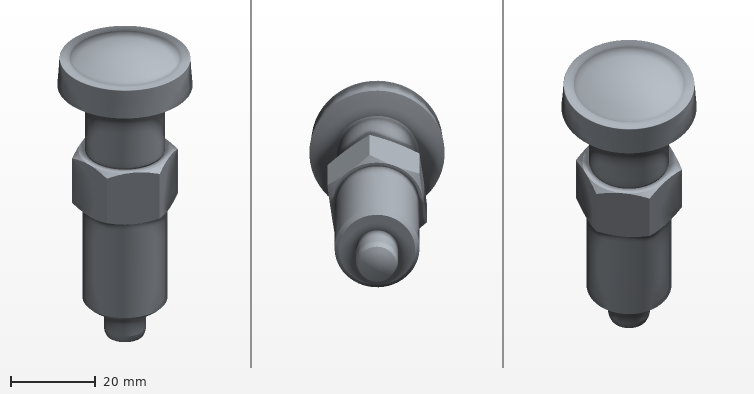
import cadquery as cq
import math

total_height = 79.0
pin_nose_z = 1.35
pin_shoulder_z = 3.15
body_bottom_z = 10.0
hex_bottom_z = 37.0
hex_top_z = 51.0
neck_bottom_z = 51.5
neck_top_z = 67.1
flare_z = 67.55
rim_bottom_z = 68.7
rim_top_z = 76.1

pin_radius = 10.0 / 2
pin_nose_radius = 4.5
body_radius = 20.1 / 2
neck_radius = 18.95 / 2
neck_flare_radius = 10.0
rim_bottom_radius = 32.0 / 2
rim_top_radius = 15.5
dome_radius = 13.0

body_chamfer = 1.0
neck_chamfer = 0.15
rim_edge_fillet = 0.15
pin_shoulder_bulge = 0.12
underside_sag = 0.1

hex_across_flats = 22.0
hex_across_corners = hex_across_flats / math.cos(math.radians(30))
hex_chamfer_angle = 30


def make_pin():
    """Round plunger pin with a tapered, domed nose."""
    nose_mid_radius = pin_nose_radius / 2
    sphere_radius = (pin_nose_radius**2 + pin_nose_z**2) / (2 * pin_nose_z)
    nose_mid_z = sphere_radius - math.sqrt(sphere_radius**2 - nose_mid_radius**2)
    shoulder_mid = (
        (pin_nose_radius + pin_radius) / 2 + pin_shoulder_bulge,
        (pin_nose_z + pin_shoulder_z) / 2,
    )
    profile = (
        cq.Workplane("XZ")
        .threePointArc((nose_mid_radius, nose_mid_z), (pin_nose_radius, pin_nose_z))
        .threePointArc(shoulder_mid, (pin_radius, pin_shoulder_z))
        .lineTo(pin_radius, hex_bottom_z)
        .lineTo(0, hex_bottom_z)
        .close()
    )
    return profile.revolve(360, (0, 0), (0, 1))


def make_body():
    """Cylindrical body with a chamfered lower end."""
    return (
        cq.Workplane("XY", origin=(0, 0, body_bottom_z))
        .circle(body_radius)
        .extrude(hex_bottom_z - body_bottom_z)
        .faces("<Z")
        .chamfer(body_chamfer)
    )


def make_hex():
    """Hexagon whose corners are turned down conically at both ends."""
    height = hex_top_z - hex_bottom_z
    corner_radius = hex_across_corners / 2
    end_radius = hex_across_flats / 2
    chamfer_height = (corner_radius - end_radius) * math.tan(math.radians(hex_chamfer_angle))
    prism = (
        cq.Workplane("XY", origin=(0, 0, hex_bottom_z))
        .transformed(rotate=(0, 0, 90))
        .polygon(6, hex_across_corners)
        .extrude(height)
    )
    turned_envelope = (
        cq.Workplane("XY", origin=(0, 0, hex_bottom_z))
        .circle(corner_radius)
        .extrude(height)
        .faces("<Z or >Z")
        .chamfer(chamfer_height, corner_radius - end_radius)
    )
    return prism.intersect(turned_envelope)


def make_knob():
    """Neck flaring into a tapered grip rim with a shallow dome on top."""
    dome_height = total_height - rim_top_z
    sphere_radius = (dome_radius**2 + dome_height**2) / (2 * dome_height)
    dome_mid_radius = dome_radius / 2
    dome_mid_z = total_height - sphere_radius + math.sqrt(sphere_radius**2 - dome_mid_radius**2)
    underside_mid = (
        (neck_flare_radius + rim_bottom_radius) / 2,
        (flare_z + rim_bottom_z) / 2 - underside_sag,
    )
    rim = (
        cq.Workplane("XZ")
        .moveTo(0, hex_top_z)
        .lineTo(neck_radius - neck_chamfer, hex_top_z)
        .lineTo(neck_radius, neck_bottom_z)
        .lineTo(neck_radius, neck_top_z)
        .lineTo(neck_flare_radius, flare_z)
        .threePointArc(underside_mid, (rim_bottom_radius, rim_bottom_z))
        .lineTo(rim_top_radius, rim_top_z)
        .lineTo(0, rim_top_z)
        .close()
        .revolve(360, (0, 0), (0, 1))
        .faces(">Z")
        .edges()
        .fillet(rim_edge_fillet)
    )
    dome = (
        cq.Workplane("XZ")
        .moveTo(0, rim_top_z)
        .lineTo(dome_radius, rim_top_z)
        .threePointArc((dome_mid_radius, dome_mid_z), (0, total_height))
        .close()
        .revolve(360, (0, 0), (0, 1))
    )
    return rim.union(dome)


result = make_pin().union(make_body()).union(make_hex()).union(make_knob())